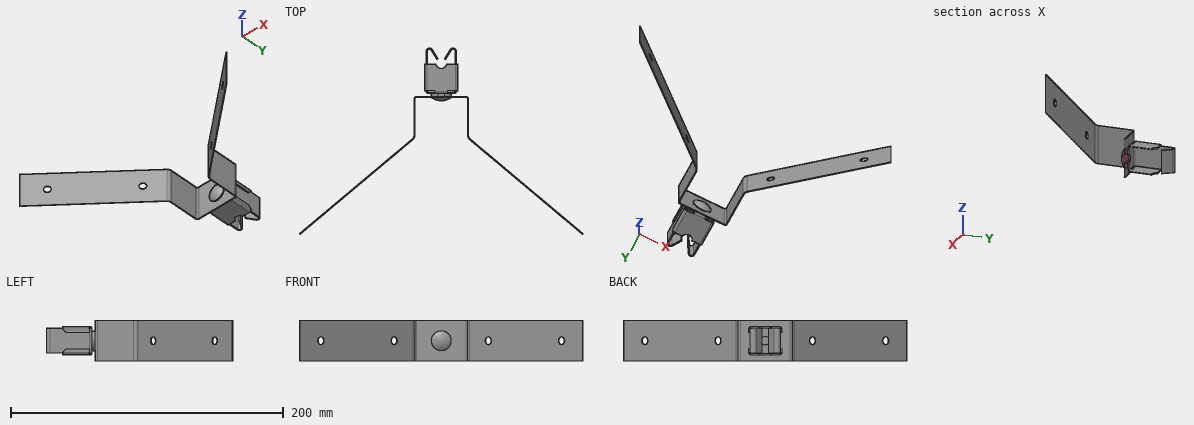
import cadquery as cq
import math


bracket_sheet = 0.75
bracket_bend_outer = 1.7
bracket_span = 208.3
bracket_width = 30.0
web_span = 40.0
wing_angle = 40.0
wing_tip_y = -101.2
wing_bend_outer = 4.4
wing_hole_diameter = 5.6
wing_hole_xs = (34.5, 88.3)

washer_radius = 7.5
washer_thickness = 2.0
washer_flat_height = 7.0

head_radius = 7.3
head_height = 2.5
shank_radius = 3.1

clip_sheet = 1.0
clip_bend_outer = 1.9
clip_bend_mid = clip_bend_outer - clip_sheet / 2

arm_span = 22.3
arm_width = 18.3
clip_top_y = 35.6
lip_bend_outer = 2.5
lip_angle = 58.0
lip_end_x = 2.7

plate_span = 24.4
plate_height = 20.8
plate_back_y = 4.2
plate_front_y = 23.7
return_depth = 4.4
tab_width = 9.4
tab_bend_outer = 1.5
rod_notch_radius = 4.0
rod_notch_y = plate_front_y + 0.8


def left_of(direction):
    """Unit direction turned a quarter turn counter-clockwise."""
    return cq.Vector(-direction.y, direction.x)


def bent_strip(plane, path, bend_radii, thickness):
    """Closed section of a bent sheet: `path` is its mid-line, with one mid-line radius per corner."""
    points = [cq.Vector(*p) for p in path]
    headings = [(b - a).normalized() for a, b in zip(points, points[1:])]

    def face_points(offset):
        """Start, then (start, middle, end) of each bend, then end, on the face `offset` to the left."""
        bends = []
        for corner, heading, leaving, radius in zip(points[1:], headings, headings[1:], bend_radii):
            side = math.copysign(1, heading.cross(leaving).z)
            run_in = radius * math.tan(heading.getAngle(leaving) / 2)
            centre = corner - heading * run_in + left_of(heading) * (side * radius)
            spoke = offset - side * radius
            middle = (heading + leaving).normalized()
            bends.append([centre + left_of(h) * spoke for h in (heading, middle, leaving)])
        start = points[0] + left_of(headings[0]) * offset
        end = points[-1] + left_of(headings[-1]) * offset
        return start, bends, end

    left_start, left_bends, left_end = face_points(thickness / 2)
    right_start, right_bends, right_end = face_points(-thickness / 2)
    section = cq.Workplane(plane).moveTo(left_start.x, left_start.y)
    for first, middle, last in left_bends:
        section = section.lineTo(first.x, first.y).threePointArc(middle.toTuple()[:2], last.toTuple()[:2])
    section = section.lineTo(left_end.x, left_end.y).lineTo(right_end.x, right_end.y)
    for first, middle, last in reversed(right_bends):
        section = section.lineTo(last.x, last.y).threePointArc(middle.toTuple()[:2], first.toTuple()[:2])
    return section.lineTo(right_start.x, right_start.y).close()


def mirrored_path(half):
    """Full path from its left half: the half followed by its mirror image in reverse order."""
    return half + [(-x, y) for x, y in reversed(half)]


def shank_cylinder(radius, start_y, end_y):
    """Cylinder on the Y axis."""
    return cq.Workplane("XZ", origin=(0, end_y, 0)).circle(radius).extrude(end_y - start_y)


clip_base_y = washer_thickness
clip_inner_y = clip_base_y + clip_sheet


def make_bracket():
    """Hat-shaped strip: a web, two legs and two sloping wings with holes."""
    leg_x = web_span / 2 - bracket_sheet / 2
    slope = math.radians(wing_angle)
    tip_x = bracket_span / 2 - bracket_sheet / 2 * math.sin(slope)
    tip_y = wing_tip_y + bracket_sheet / 2 * math.cos(slope)
    bend_y = tip_y + (tip_x - leg_x) * math.tan(slope)
    half = [(-tip_x, tip_y), (-leg_x, bend_y), (-leg_x, -bracket_sheet / 2)]
    bend_mid = bracket_bend_outer - bracket_sheet / 2
    wing_bend_mid = wing_bend_outer - bracket_sheet / 2
    radii = [wing_bend_mid, bend_mid, bend_mid, wing_bend_mid]
    section = bent_strip("XY", mirrored_path(half), radii, bracket_sheet)
    bracket = section.extrude(bracket_width / 2, both=True)

    for side in (-1, 1):
        for hole_x in wing_hole_xs:
            centre = cq.Vector(side * hole_x, tip_y + (tip_x - hole_x) * math.tan(slope))
            normal = cq.Vector(side * math.sin(slope), math.cos(slope))
            start = centre - normal * bracket_sheet
            hole = cq.Solid.makeCylinder(wing_hole_diameter / 2, 2 * bracket_sheet, start, normal)
            bracket = bracket.cut(cq.Workplane(hole))
    return bracket.cut(shank_cylinder(shank_radius, -bracket_sheet, 0))


def make_washer():
    """Round spacer with one flat on its upper side."""
    washer = shank_cylinder(washer_radius, 0, washer_thickness)
    above_flat = cq.Workplane("XY", origin=(0, 0, washer_flat_height)).box(
        2 * washer_radius, 2 * washer_thickness, washer_radius, centered=(True, True, False)
    )
    return washer.cut(above_flat).cut(shank_cylinder(shank_radius, 0, washer_thickness))


def make_rivet():
    """Domed head under the web, with a shank that ends flush inside the clip base."""
    dome_radius = (head_radius**2 + head_height**2) / (2 * head_height)
    head_y = -bracket_sheet
    apex_y = head_y - head_height
    middle_angle = math.asin(head_radius / dome_radius) / 2
    middle = (
        dome_radius * math.sin(middle_angle),
        apex_y + dome_radius * (1 - math.cos(middle_angle)),
    )
    return (
        cq.Workplane("XY")
        .moveTo(0, apex_y)
        .threePointArc(middle, (head_radius, head_y))
        .lineTo(shank_radius, head_y)
        .lineTo(shank_radius, clip_inner_y)
        .lineTo(0, clip_inner_y)
        .close()
        .revolve(axisStart=(0, 0), axisEnd=(0, 1))
    )


def make_spring_arms():
    """Clip base with its two arms and their turned-in lips."""
    arm_x = arm_span / 2 - clip_sheet / 2
    lip_bend_mid = lip_bend_outer - clip_sheet / 2
    slope = math.radians(lip_angle)
    turn = math.pi / 2 + slope
    corner_y = clip_top_y - lip_bend_outer + lip_bend_mid * math.tan(turn / 2)
    lip_end_y = corner_y - (arm_x - lip_end_x) * math.tan(slope)
    half = [(-lip_end_x, lip_end_y), (-arm_x, corner_y), (-arm_x, clip_base_y + clip_sheet / 2)]
    radii = [lip_bend_mid, clip_bend_mid, clip_bend_mid, lip_bend_mid]
    return bent_strip("XY", mirrored_path(half), radii, clip_sheet).extrude(arm_width / 2, both=True)


def make_plate_tabs():
    """Narrow strip that runs from the base round into the back edge of both plates."""
    plate_z = plate_height / 2 - clip_sheet / 2
    base_y = clip_base_y + clip_sheet / 2
    end_y = plate_back_y + clip_sheet
    path = [(end_y, plate_z), (base_y, plate_z), (base_y, -plate_z), (end_y, -plate_z)]
    tab_bend_mid = tab_bend_outer - clip_sheet / 2
    return bent_strip("YZ", path, [tab_bend_mid, tab_bend_mid], clip_sheet).extrude(tab_width / 2, both=True)


def make_plate(side):
    """Plate with rounded edges that return over the arms; `side` is +1 for the top, -1 for the bottom."""
    plate_x = plate_span / 2 - clip_sheet / 2
    plate_z = side * (plate_height / 2 - clip_sheet / 2)
    return_z = side * (plate_height / 2 - return_depth)
    half = [(-plate_x, return_z), (-plate_x, plate_z)]
    front = cq.Plane.named("XZ", origin=(0, plate_front_y, 0))
    section = bent_strip(front, mirrored_path(half), [clip_bend_mid, clip_bend_mid], clip_sheet)
    plate = section.extrude(plate_front_y - plate_back_y)

    cut = return_depth - clip_bend_outer
    corner = (
        cq.Workplane("YZ")
        .moveTo(plate_front_y, return_z)
        .lineTo(plate_front_y - cut, return_z)
        .lineTo(plate_front_y, return_z + side * cut)
        .close()
        .extrude(plate_span, both=True)
    )

    notch_circle = cq.Workplane("XY").center(0, rod_notch_y).circle(rod_notch_radius)
    notch = notch_circle.extrude(plate_height, both=True)
    return plate.cut(corner).cut(notch)


def make_clip():
    """One bent sheet: spring arms in X, folded plates in Z, and the rivet hole."""
    clip = make_spring_arms().union(make_plate_tabs())
    for side in (1, -1):
        clip = clip.union(make_plate(side))
    return clip.cut(shank_cylinder(shank_radius, clip_base_y, clip_inner_y))


bracket = make_bracket()
washer = make_washer()
rivet = make_rivet()
clip = make_clip()

result = cq.Compound.makeCompound([bracket.val(), washer.val(), rivet.val(), clip.val()])